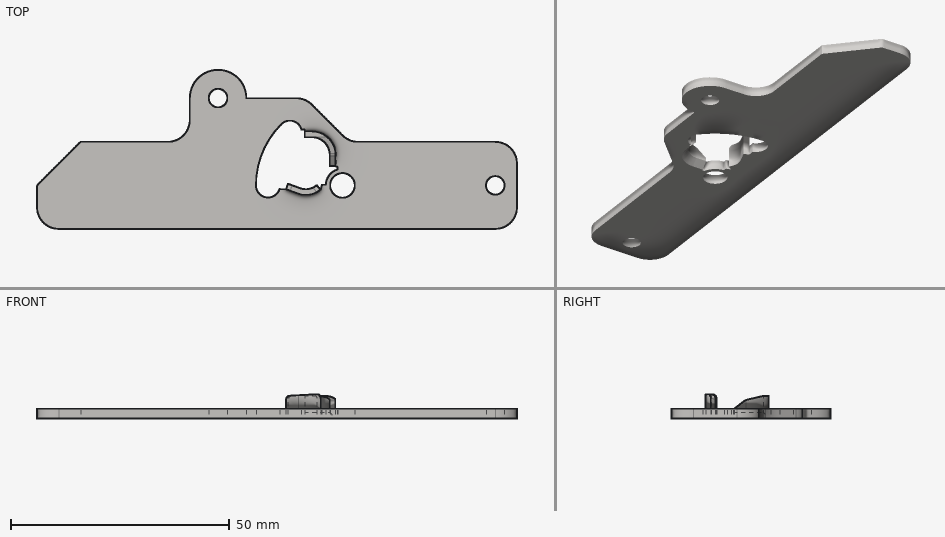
import cadquery as cq
import math

length = 110.0
bar_width = 20.0
thickness = 2.3
corner_radius = 5.0
nose_chamfer = 10.0
nose_radius = 1.0
shoulder_y = 30.0
shoulder_end_x = 61.5
slope_run = shoulder_y - bar_width

ear_x = 41.5
ear_radius = 6.5

mount_hole_diameter = 4.2
end_hole_x = length - 5.0
hole_row_y = bar_width / 2
pivot_x = 70.0
pivot_hole_diameter = 5.6

slot_radius = 17.05
slot_end_radius = 2.75
slot_sweep = 45.0
web_radius = 3.85

wall_thickness = 1.35

upper_bend_x = 63.1
upper_bend_y = 17.05
upper_bend_radius = 5.3
upper_start_x = 61.3
upper_end_y = 14.4
upper_top_z = 5.25
ramp_start_y = 21.1
ramp_break_y = 17.0
ramp_break_z = 4.3
ramp_blend_radius = 1.5
underside_chamfer = 1.5

lower_bend_x = 61.6
lower_bend_y = 13.0
lower_bend_radius = 5.2
lower_lean = 20.0
lower_straight = 2.95
lower_arc_end = 40.5
lower_start_z = 5.25
lower_top_z = 5.7
tip_radius = 1.0

upper_lip_y = 22.8
lip_start_x = 60.3
bump_x = 55.5
bump_y = 9.2
dip_x = 56.1
notch_x = 65.3
notch_y = 10.15
slit_tip_x = 68.85
slit_tip_y = 14.2
web_end_angle = 107.0


def polar(center_x, center_y, radius, degrees):
    angle = math.radians(degrees)
    return center_x + radius * math.cos(angle), center_y + radius * math.sin(angle)


def plate_blank():
    ear_left = ear_x - ear_radius
    blank = (
        cq.Workplane("XY")
        .moveTo(0, 0)
        .lineTo(length, 0)
        .lineTo(length, bar_width)
        .lineTo(shoulder_end_x + slope_run, bar_width)
        .lineTo(shoulder_end_x, shoulder_y)
        .lineTo(ear_x + ear_radius, shoulder_y)
        .threePointArc((ear_x, shoulder_y + ear_radius), (ear_left, shoulder_y))
        .lineTo(ear_left, bar_width)
        .lineTo(nose_chamfer, bar_width)
        .lineTo(0, bar_width - nose_chamfer)
        .close()
        .extrude(thickness)
    )

    def corner_edge(x, y):
        return cq.selectors.NearestToPointSelector((x, y, thickness / 2))

    rounded_corners = [
        (0, 0),
        (length, 0),
        (length, bar_width),
        (shoulder_end_x + slope_run, bar_width),
        (shoulder_end_x, shoulder_y),
        (ear_left, bar_width),
    ]
    for x, y in rounded_corners:
        blank = blank.edges("|Z").edges(corner_edge(x, y)).fillet(corner_radius)
    nose = corner_edge(0, bar_width - nose_chamfer)
    return blank.edges("|Z").edges(nose).fillet(nose_radius)


def round_holes():
    mounts = (
        cq.Workplane("XY")
        .pushPoints([(ear_x, shoulder_y), (end_hole_x, hole_row_y)])
        .circle(mount_hole_diameter / 2)
        .extrude(thickness)
    )
    pivot = (
        cq.Workplane("XY")
        .center(pivot_x, hole_row_y)
        .circle(pivot_hole_diameter / 2)
        .extrude(thickness)
    )
    return mounts.union(pivot)


def arc_slot():
    def around_pivot(radius, degrees):
        return polar(pivot_x, hole_row_y, radius, degrees)

    inner = slot_radius - slot_end_radius
    outer = slot_radius + slot_end_radius
    low = 180
    high = low - slot_sweep
    middle = low - slot_sweep / 2
    low_center = around_pivot(slot_radius, low)
    high_center = around_pivot(slot_radius, high)
    return (
        cq.Workplane("XY")
        .moveTo(*around_pivot(outer, low))
        .threePointArc(around_pivot(outer, middle), around_pivot(outer, high))
        .threePointArc(polar(*high_center, slot_end_radius, high - 90), around_pivot(inner, high))
        .threePointArc(around_pivot(inner, middle), around_pivot(inner, low))
        .threePointArc(polar(*low_center, slot_end_radius, low + 90), around_pivot(outer, low))
        .close()
        .extrude(thickness)
    )


def lower_points(radius):
    """Start, tangent point, arc middle and arc end of one face of the lower wall."""
    lowest = -90
    tangent_angle = lowest - lower_lean
    end_angle = lowest + lower_arc_end
    tangent = polar(lower_bend_x, lower_bend_y, radius, tangent_angle)
    start = polar(*tangent, lower_straight, 180 - lower_lean)
    middle = polar(lower_bend_x, lower_bend_y, radius, (tangent_angle + end_angle) / 2)
    end = polar(lower_bend_x, lower_bend_y, radius, end_angle)
    return start, tangent, middle, end


def upper_points(radius):
    """Start, bend start, bend middle, bend end and free end of one face of the upper wall."""
    bend_start = (upper_bend_x, upper_bend_y + radius)
    bend_middle = polar(upper_bend_x, upper_bend_y, radius, 45)
    bend_end = (upper_bend_x + radius, upper_bend_y)
    start = (upper_start_x, bend_start[1])
    end = (bend_end[0], upper_end_y)
    return start, bend_start, bend_middle, bend_end, end


def seat():
    """Pocket whose edge follows the outer faces of both walls."""
    start, tangent, middle, end = lower_points(lower_bend_radius)
    upper_start, bend_start, bend_middle, bend_end, upper_end = upper_points(upper_bend_radius)
    web_low = 180 - math.degrees(math.asin((notch_y - hole_row_y) / web_radius))
    web_middle = (web_low + web_end_angle) / 2
    return (
        cq.Workplane("XY")
        .moveTo(bump_x, bump_y)
        .lineTo(dip_x, start[1])
        .lineTo(*start)
        .lineTo(*tangent)
        .threePointArc(middle, end)
        .lineTo(notch_x, notch_y)
        .lineTo(*polar(pivot_x, hole_row_y, web_radius, web_low))
        .threePointArc(
            polar(pivot_x, hole_row_y, web_radius, web_middle),
            polar(pivot_x, hole_row_y, web_radius, web_end_angle),
        )
        .lineTo(slit_tip_x, slit_tip_y)
        .lineTo(*upper_end)
        .lineTo(*bend_end)
        .threePointArc(bend_middle, bend_start)
        .lineTo(*upper_start)
        .lineTo(upper_start_x, upper_lip_y)
        .lineTo(lip_start_x, upper_lip_y)
        .lineTo(*polar(pivot_x, hole_row_y, slot_radius, 180 - slot_sweep))
        .lineTo(*polar(pivot_x, hole_row_y, slot_radius, 180))
        .close()
        .extrude(thickness)
    )


def upper_wall():
    outer_start, outer_bend_start, outer_middle, outer_bend_end, outer_end = upper_points(upper_bend_radius)
    inner_radius = upper_bend_radius - wall_thickness
    inner_start, inner_bend_start, inner_middle, inner_bend_end, inner_end = upper_points(inner_radius)
    plan = (
        cq.Workplane("XY")
        .moveTo(*outer_start)
        .lineTo(*outer_bend_start)
        .threePointArc(outer_middle, outer_bend_end)
        .lineTo(*outer_end)
        .lineTo(*inner_end)
        .lineTo(*inner_bend_end)
        .threePointArc(inner_middle, inner_bend_start)
        .lineTo(*inner_start)
        .close()
        .extrude(upper_top_z)
    )
    profile = (
        cq.Workplane("YZ")
        .moveTo(upper_end_y, 0)
        .lineTo(upper_end_y, thickness)
        .lineTo(ramp_break_y, ramp_break_z)
        .lineTo(ramp_start_y, upper_top_z)
        .lineTo(shoulder_y, upper_top_z)
        .lineTo(shoulder_y, 0)
        .close()
        .extrude(length)
    )
    ramp_break = cq.selectors.NearestToPointSelector((length / 2, ramp_break_y, ramp_break_z))
    profile = profile.edges(ramp_break).fillet(ramp_blend_radius)
    return plan.intersect(profile)


def underside_cut():
    """45-degree relief along the bottom inner edge of the upper wall."""
    start, bend_start, bend_middle, bend_end, end = upper_points(upper_bend_radius - wall_thickness)
    path = (
        cq.Workplane("XY")
        .moveTo(*start)
        .lineTo(*bend_start)
        .threePointArc(bend_middle, bend_end)
        .lineTo(*end)
    )
    return (
        cq.Workplane("YZ", origin=(*start, 0))
        .lineTo(underside_chamfer, 0)
        .lineTo(0, underside_chamfer)
        .close()
        .sweep(path)
    )


def lower_wall():
    outer_start, outer_tangent, outer_middle, outer_end = lower_points(lower_bend_radius)
    inner_start, inner_tangent, inner_middle, inner_end = lower_points(lower_bend_radius - wall_thickness)
    plan = (
        cq.Workplane("XY")
        .moveTo(*outer_start)
        .lineTo(*outer_tangent)
        .threePointArc(outer_middle, outer_end)
        .lineTo(*inner_end)
        .threePointArc(inner_middle, inner_tangent)
        .lineTo(*inner_start)
        .close()
        .extrude(lower_top_z)
    )
    profile = (
        cq.Workplane("XZ")
        .moveTo(outer_start[0], 0)
        .lineTo(outer_start[0], lower_start_z)
        .lineTo(outer_end[0], lower_top_z)
        .lineTo(outer_end[0], 0)
        .close()
        .extrude(-bar_width)
    )
    wall = plan.intersect(profile)
    for outer, inner in ((outer_start, inner_start), (outer_end, inner_end)):
        middle = ((outer[0] + inner[0]) / 2, (outer[1] + inner[1]) / 2, lower_top_z)
        wall = wall.edges(cq.selectors.NearestToPointSelector(middle)).fillet(tip_radius)
    return wall


window = arc_slot().union(seat())
plate = plate_blank().cut(window).cut(round_holes())
result = plate.union(upper_wall()).union(lower_wall()).cut(underside_cut())